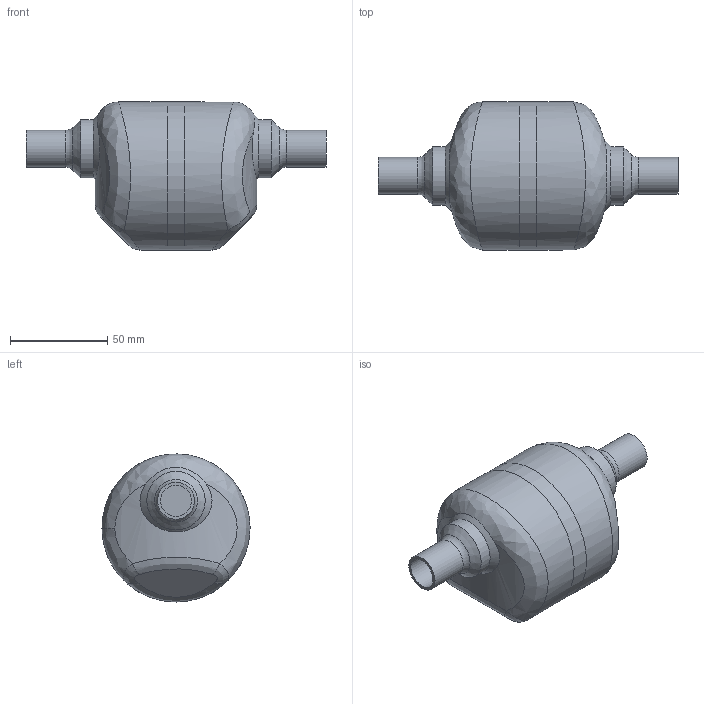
import cadquery as cq
import math

shell_diameter = 76.0
shell_length = 83.0
end_bulge_radius = 70.0
shoulder_fillet = 12.0

slope_angle = 45.0
slope_top_z = -18.5
slope_fillet = 8.5

band_width = 9.0

overall_length = 154.0
pipe_z = 14.0
pipe_diameter = 19.0
bore_diameter = 16.0
collar_diameter = 30.0
cone_end_x = 49.0
cone_angle = 45.0
neck_fillet = 5.0
flare_start_x = 42.5
flare_length = 5.0

clearance = 1.0

shell_radius = shell_diameter / 2
shell_end_x = shell_length / 2
pipe_radius = pipe_diameter / 2
bore_radius = bore_diameter / 2
collar_radius = collar_diameter / 2
pipe_end_x = overall_length / 2

cone_slope = math.radians(cone_angle)
neck_corner_x = cone_end_x + (collar_radius - pipe_radius) / math.tan(cone_slope)
pipe_start_x = neck_corner_x + neck_fillet * math.tan(cone_slope / 2)
neck_arc_center_radius = pipe_radius + neck_fillet


def neck_arc_point(angle):
    """Point on the neck arc, at an angle away from its tangent point on the pipe."""
    return (
        pipe_start_x - neck_fillet * math.sin(angle),
        neck_arc_center_radius - neck_fillet * math.cos(angle),
    )


def make_end_blank():
    """Outline of the shell as seen along Z, extruded through its height."""
    half_width = shell_radius + clearance
    bulge_sagitta = end_bulge_radius - math.sqrt(end_bulge_radius**2 - half_width**2)
    side_x = shell_end_x - bulge_sagitta
    return (
        cq.Workplane("XY")
        .moveTo(-side_x, -half_width)
        .lineTo(side_x, -half_width)
        .threePointArc((shell_end_x, 0), (side_x, half_width))
        .lineTo(-side_x, half_width)
        .threePointArc((-shell_end_x, 0), (-side_x, -half_width))
        .close()
        .extrude(shell_radius + clearance, both=True)
    )


def make_slope_cutter(side):
    """Wedge below the sloped flat at one end; side is -1 or +1."""
    drop = shell_radius
    run = drop / math.tan(math.radians(slope_angle))
    return (
        cq.Workplane("XZ")
        .moveTo(side * shell_end_x, slope_top_z)
        .lineTo(side * (shell_end_x - run), slope_top_z - drop)
        .lineTo(side * shell_end_x, slope_top_z - drop)
        .close()
        .extrude(shell_radius, both=True)
    )


def make_shell():
    """Bulged cylinder with rounded shoulders and two rounded sloped flats."""
    shell = cq.Workplane("YZ").circle(shell_radius).extrude(shell_end_x, both=True)
    shell = shell.intersect(make_end_blank())
    shell = shell.edges("<X or >X").fillet(shoulder_fillet)
    for side in (-1, 1):
        shell = shell.cut(make_slope_cutter(side))
    return shell.faces("%PLANE").edges().fillet(slope_fillet)


def divide_at_band(shell):
    """Split the shell surface along both sides of the centre band."""
    band_blank = cq.Workplane("YZ").circle(shell_diameter).extrude(band_width / 2, both=True)
    band = shell.intersect(band_blank)
    return shell.cut(band_blank).union(band, clean=False)


def make_connection():
    """Collar, cone and pipe on the +X end, turned about the pipe axis."""
    root_x = flare_start_x - flare_length
    return (
        cq.Workplane("XY")
        .moveTo(root_x, 0)
        .lineTo(root_x, collar_radius + flare_length)
        .lineTo(flare_start_x, collar_radius)
        .lineTo(cone_end_x, collar_radius)
        .lineTo(*neck_arc_point(cone_slope))
        .threePointArc(neck_arc_point(cone_slope / 2), (pipe_start_x, pipe_radius))
        .lineTo(pipe_end_x, pipe_radius)
        .lineTo(pipe_end_x, bore_radius)
        .lineTo(pipe_start_x, bore_radius)
        .lineTo(pipe_start_x, 0)
        .close()
        .revolve(360, (0, 0, 0), (1, 0, 0))
        .translate((0, 0, pipe_z))
    )


connection = make_connection()
result = divide_at_band(make_shell())
for fitting in (connection, connection.mirror("YZ")):
    result = result.union(fitting, clean=False)